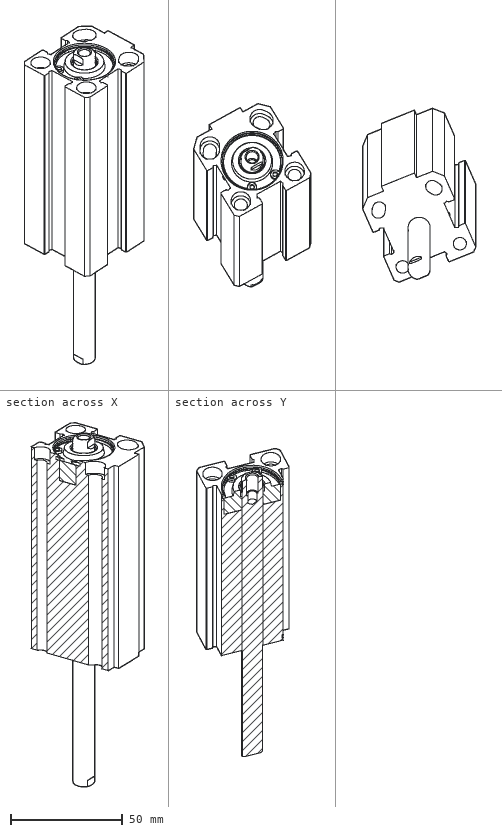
import cadquery as cq
import math

OVERALL_LENGTH = 171.5

WIDTH = 40.0
HALF_WIDTH = WIDTH / 2
HOUSING_LENGTH = 100.0
SHOULDER_Y = 22.1
TAB_Y = 24.5
TAB_HALF_WIDTH = 8.0
BACK_CHAMFER = 4.1
FRONT_CHAMFER = 1.7

SLOT_HALF_MOUTH = 6.0
SLOT_MOUTH_CHAMFER = 0.3
SLOT_HALF_UNDERCUT = 6.7
SLOT_HALF_FLOOR = 6.2
SLOT_MOUTH_END = 17.0
SLOT_UNDERCUT = 16.3
SLOT_DEPTH = 5.1
SLOT_FLOOR = HALF_WIDTH - SLOT_DEPTH

HOLE_PITCH = 28.0
HOLE_OFFSET = HOLE_PITCH / 2
HOLE_DIAMETER = 5.8
COUNTERBORE_DIAMETER = 8.7
COUNTERBORE_DEPTH = 5.8
BACK_HOLE_SHIFT_X = 1.0
BACK_HOLE_SHIFT_Y = 1.5

PORT_DIAMETER = 1.6
PORT_DEPTH = 0.5
PORT_END_DISTANCE = 2.5

RECESS_DIAMETER = 27.0
EDGE_CHAMFER = 0.5
COVER_FACE_DEPTH = 2.5
COVER_THICKNESS = 10.0
BOSS_BASE_DIAMETER = 18.5
BOSS_TOP_DIAMETER = 17.5
SEAL_DIAMETER = 11.3
SEAL_DEPTH = 1.7
SEAL_THICKNESS = 2.5
RING_OUTER_DIAMETER = 28.5
RING_INNER_DIAMETER = 25.7
RING_THICKNESS = 1.2
LUG_DIAMETER = 4.1
LUG_HOLE_DIAMETER = 2.0
LUG_X = 6.0
LUG_Y = -10.3

ROD_DIAMETER = 10.0
ROD_ABOVE = 5.3
ROD_BELOW = OVERALL_LENGTH - HOUSING_LENGTH - ROD_ABOVE
ROD_END_FILLET = 1.2
ACROSS_FLATS = 8.0
FLAT_LENGTH = 3.5
THREAD_DIAMETER = 5.3
THREAD_DEPTH = 10.0
THREAD_CHAMFER = 0.5
DRILL_DIAMETER = 4.1
DRILL_DEPTH = 15.0
DRILL_TIP_ANGLE = 118

RECESS_FLOOR_Z = HOUSING_LENGTH - COVER_FACE_DEPTH - COVER_THICKNESS
COVER_FACE_Z = HOUSING_LENGTH - COVER_FACE_DEPTH
SEAL_TOP_Z = HOUSING_LENGTH - SEAL_DEPTH
SEAL_BOTTOM_Z = SEAL_TOP_Z - SEAL_THICKNESS
ROD_TOP_Z = HOUSING_LENGTH + ROD_ABOVE
ROD_BOTTOM_Z = -ROD_BELOW


def disc(diameter, height, base_z):
    """Cylinder on the rod axis."""
    return cq.Workplane("XY").workplane(offset=base_z).circle(diameter / 2).extrude(height)


def cone(base_diameter, top_diameter, height, base_z):
    """Truncated or pointed cone on the rod axis."""
    solid = cq.Solid.makeCone(base_diameter / 2, top_diameter / 2, height, cq.Vector(0, 0, base_z))
    return cq.Workplane(obj=solid)


def flare(diameter, chamfer, mouth_z):
    """Cutter that chamfers the upper edge of a bore at 45 degrees."""
    return cone(diameter, diameter + 2 * chamfer, chamfer, mouth_z - chamfer)


def make_profile():
    """Outer section of the housing, without its slots."""
    right_half = [
        (TAB_HALF_WIDTH, TAB_Y),
        (TAB_HALF_WIDTH, SHOULDER_Y),
        (HALF_WIDTH - BACK_CHAMFER, SHOULDER_Y),
        (HALF_WIDTH, SHOULDER_Y - BACK_CHAMFER),
        (HALF_WIDTH, FRONT_CHAMFER - HALF_WIDTH),
        (HALF_WIDTH - FRONT_CHAMFER, -HALF_WIDTH),
    ]
    left_half = [(-x, y) for x, y in reversed(right_half)]
    return cq.Workplane("XY").polyline(right_half + left_half).close().extrude(HOUSING_LENGTH)


def make_slot(angle):
    """Switch slot opening toward +X, turned by an angle about the rod axis."""
    upper_half = [
        (HALF_WIDTH, SLOT_HALF_MOUTH + SLOT_MOUTH_CHAMFER),
        (HALF_WIDTH - SLOT_MOUTH_CHAMFER, SLOT_HALF_MOUTH),
        (SLOT_MOUTH_END, SLOT_HALF_MOUTH),
        (SLOT_UNDERCUT, SLOT_HALF_UNDERCUT),
        (SLOT_FLOOR, SLOT_HALF_FLOOR),
    ]
    lower_half = [(x, -y) for x, y in reversed(upper_half)]
    slot = cq.Workplane("XY").polyline(upper_half + lower_half).close().extrude(HOUSING_LENGTH)
    return slot.rotate((0, 0, 0), (0, 0, 1), angle)


def make_back_hole(side, diameter, depth):
    """Slotted hole at a back corner, cut downward from the top face."""
    length = math.hypot(BACK_HOLE_SHIFT_X, BACK_HOLE_SHIFT_Y)
    angle = math.degrees(math.atan2(BACK_HOLE_SHIFT_Y, -side * BACK_HOLE_SHIFT_X))
    middle = (side * (HOLE_OFFSET - BACK_HOLE_SHIFT_X / 2), HOLE_OFFSET + BACK_HOLE_SHIFT_Y / 2)
    top = cq.Workplane("XY").workplane(offset=HOUSING_LENGTH)
    return top.center(*middle).slot2D(length + diameter, diameter, angle).extrude(-depth)


def make_front_hole(side, diameter, depth):
    """Round hole at a front corner, cut downward from the top face."""
    top = cq.Workplane("XY").workplane(offset=HOUSING_LENGTH)
    return top.center(side * HOLE_OFFSET, -HOLE_OFFSET).circle(diameter / 2).extrude(-depth)


def make_housing():
    body = make_profile()
    for angle in (0, 180, 270):
        body = body.cut(make_slot(angle))
    for side in (-1, 1):
        for make_hole in (make_back_hole, make_front_hole):
            body = body.cut(make_hole(side, HOLE_DIAMETER, HOUSING_LENGTH))
            body = body.cut(make_hole(side, COUNTERBORE_DIAMETER, COUNTERBORE_DEPTH))
    for port_z in (PORT_END_DISTANCE, HOUSING_LENGTH - PORT_END_DISTANCE):
        floor = cq.Workplane("YZ").workplane(offset=-SLOT_FLOOR)
        body = body.cut(floor.center(0, port_z).circle(PORT_DIAMETER / 2).extrude(PORT_DEPTH))
    body = body.cut(disc(ROD_DIAMETER, HOUSING_LENGTH, 0))
    body = body.cut(disc(RECESS_DIAMETER, HOUSING_LENGTH - RECESS_FLOOR_Z, RECESS_FLOOR_Z))
    body = body.cut(flare(RECESS_DIAMETER, EDGE_CHAMFER, HOUSING_LENGTH))
    return body.cut(disc(RING_OUTER_DIAMETER, RING_THICKNESS, COVER_FACE_Z))


def make_cover():
    """Round plug in the recess, with a tapered boss that ends level with the housing."""
    plug = disc(RECESS_DIAMETER, COVER_THICKNESS, RECESS_FLOOR_Z)
    boss = cone(BOSS_BASE_DIAMETER, BOSS_TOP_DIAMETER, COVER_FACE_DEPTH, COVER_FACE_Z)
    cover = plug.union(boss).cut(disc(ROD_DIAMETER, HOUSING_LENGTH, 0))
    cover = cover.cut(disc(SEAL_DIAMETER, HOUSING_LENGTH - SEAL_BOTTOM_Z, SEAL_BOTTOM_Z))
    return cover.cut(flare(SEAL_DIAMETER, EDGE_CHAMFER, HOUSING_LENGTH))


def make_seal():
    """Wiper ring between the cover and the rod, sunk below the boss face."""
    seal = disc(SEAL_DIAMETER, SEAL_THICKNESS, SEAL_BOTTOM_Z)
    return seal.cut(disc(ROD_DIAMETER, SEAL_THICKNESS, SEAL_BOTTOM_Z))


def make_retaining_ring():
    """Open ring in the housing groove, with a drilled lug at each end of its gap."""
    ring = disc(RING_OUTER_DIAMETER, RING_THICKNESS, COVER_FACE_Z)
    ring = ring.cut(disc(RING_INNER_DIAMETER, RING_THICKNESS, COVER_FACE_Z))
    plane = cq.Workplane("XY").workplane(offset=COVER_FACE_Z)
    lug_points = [(-LUG_X, LUG_Y), (LUG_X, LUG_Y)]
    reach = RING_OUTER_DIAMETER
    gap_end = (LUG_X * reach / -LUG_Y, -reach)
    gap = plane.polyline([(0, 0), gap_end, (-gap_end[0], -reach)]).close().extrude(RING_THICKNESS)
    lugs = plane.pushPoints(lug_points).circle(LUG_DIAMETER / 2).extrude(RING_THICKNESS)
    holes = plane.pushPoints(lug_points).circle(LUG_HOLE_DIAMETER / 2).extrude(RING_THICKNESS)
    return ring.cut(gap).union(lugs).cut(holes)


def make_flat(side, end_z, inward):
    """Cutter for a wrench flat at a rod end, running out to the surface at 45 degrees."""
    flat_y = ACROSS_FLATS / 2
    outer_y = ROD_DIAMETER / 2
    run_out = outer_y - flat_y
    section = [
        (side * flat_y, end_z),
        (side * flat_y, end_z + inward * FLAT_LENGTH),
        (side * outer_y, end_z + inward * (FLAT_LENGTH + run_out)),
        (side * outer_y, end_z),
    ]
    return cq.Workplane("YZ").polyline(section).close().extrude(ROD_DIAMETER / 2, both=True)


def make_tapped_hole():
    """Blind hole in the upper rod end, with a chamfered mouth and a drill point."""
    tip_height = DRILL_DIAMETER / 2 / math.tan(math.radians(DRILL_TIP_ANGLE / 2))
    drill_floor_z = ROD_TOP_Z - DRILL_DEPTH
    hole = disc(THREAD_DIAMETER, THREAD_DEPTH, ROD_TOP_Z - THREAD_DEPTH)
    hole = hole.union(disc(DRILL_DIAMETER, DRILL_DEPTH, drill_floor_z))
    hole = hole.union(cone(0, DRILL_DIAMETER, tip_height, drill_floor_z - tip_height))
    return hole.union(flare(THREAD_DIAMETER, THREAD_CHAMFER, ROD_TOP_Z))


def make_rod():
    rod = disc(ROD_DIAMETER, ROD_TOP_Z - ROD_BOTTOM_Z, ROD_BOTTOM_Z)
    rod = rod.faces("<Z or >Z").edges().fillet(ROD_END_FILLET)
    for side in (-1, 1):
        rod = rod.cut(make_flat(side, ROD_TOP_Z, -1))
        rod = rod.cut(make_flat(side, ROD_BOTTOM_Z, 1))
    return rod.cut(make_tapped_hole())


housing = make_housing()
cover = make_cover()
seal = make_seal()
retaining_ring = make_retaining_ring()
rod = make_rod()

result = cq.Compound.makeCompound(
    [housing.val(), cover.val(), seal.val(), retaining_ring.val(), rod.val()]
)